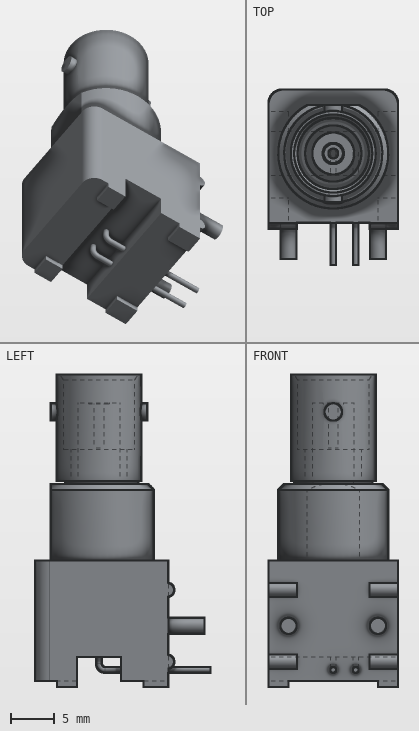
import cadquery as cq
import math


body_width = 14.75
body_back = 7.3
body_front = -7.9
body_top = 14.4
corner_radius = 1.65

foot_height = 0.68
foot_inner_x = 5.1
foot_width = body_width / 2 - foot_inner_x
front_foot_back = -5.05
rear_foot_back = 4.8
slot_half_length = 2.5
slot_top = 3.4

ridge_length = 3.25
ridge_half_height = 0.8
ridge_rise = 0.68
ridge_heights = (2.88, 11.05)
post_radius = 0.92
post_x = 5.1
post_z = 6.97
post_end = -12.02

pin_radius = 0.338
pin_positions = (0, 2.55)
pin_z = 1.95
pin_bend_radius = 0.7
pin_end = -12.7
pin_anchor = 0.7

collar_radius = 6.25
collar_top = 23.1
collar_chamfer = 0.68
collar_flat_y = 5.5

total_height = 35.55
barrel_radius = 4.85
barrel_bottom = 23.45
neck_radius = 4.48
neck_flat_y = 3.85
lug_radius = 1.0
lug_z = 31.3
lug_span = 2 * collar_flat_y

mouth_radius = 4.45
mouth_depth = 0.65
bore_radius = 4.05
bore_floor = 27.03
groove_radius = 3.2
groove_floor = 23.47
insulator_radius = 2.4
insulator_top = 32.3
contact_recess_radius = 1.2
contact_radius = 1.1
contact_recess_depth = contact_recess_radius - contact_radius
contact_hole_radius = 0.55
contact_hole_depth = 4.98


def box_between(x0, x1, y0, y1, z0, z1):
    return cq.Workplane("XY").box(x1 - x0, y1 - y0, z1 - z0, centered=False).translate((x0, y0, z0))


def rod_along_y(x, z, radius, y_front, y_back):
    rod = cq.Workplane("XZ", origin=(x, y_back, z)).circle(radius)
    return rod.extrude(y_back - y_front)


def make_housing():
    half = body_width / 2
    housing = box_between(-half, half, body_front, body_back, foot_height, body_top)
    housing = housing.edges("|Z and >Y").fillet(corner_radius)
    for x0 in (-half, foot_inner_x):
        x1 = x0 + foot_width
        housing = housing.union(box_between(x0, x1, body_front, front_foot_back, 0, foot_height))
        housing = housing.union(box_between(x0, x1, slot_half_length, rear_foot_back, 0, foot_height))
    slot = box_between(-half, half, -slot_half_length, slot_half_length, 0, slot_top)
    return housing.cut(slot)


def make_ridge(x_start, z):
    profile = (
        cq.Workplane("YZ", origin=(x_start, body_front, z))
        .moveTo(0, -ridge_half_height)
        .threePointArc((-ridge_rise, 0), (0, ridge_half_height))
        .close()
    )
    return profile.extrude(ridge_length)


def make_pin(x):
    """Round wire that drops from the slot roof and bends towards the front."""
    bend_mid = pin_bend_radius * (1 - math.sqrt(0.5))
    path = (
        cq.Workplane("YZ", origin=(x, 0, 0))
        .moveTo(0, slot_top + pin_anchor)
        .lineTo(0, pin_z + pin_bend_radius)
        .threePointArc((-bend_mid, pin_z + bend_mid), (-pin_bend_radius, pin_z))
        .lineTo(pin_end, pin_z)
    )
    section = cq.Workplane("XY", origin=(x, 0, slot_top + pin_anchor)).circle(pin_radius)
    return section.sweep(path)


def make_collar():
    collar = cq.Workplane("XY", origin=(0, 0, body_top)).circle(collar_radius)
    collar = collar.extrude(collar_top - body_top).faces(">Z").chamfer(collar_chamfer)
    beyond_flat = box_between(
        -collar_radius, collar_radius, collar_flat_y, collar_radius, body_top, collar_top
    )
    return collar.cut(beyond_flat)


def make_barrel():
    """Revolved barrel and socket on a neck with a flat at the back, with a bayonet lug on each side."""
    contact_face = insulator_top - contact_recess_depth
    contact_hole_floor = contact_face - contact_hole_depth
    barrel = (
        cq.Workplane("XZ")
        .moveTo(0, collar_top)
        .lineTo(neck_radius, collar_top)
        .lineTo(neck_radius, barrel_bottom)
        .lineTo(barrel_radius, barrel_bottom)
        .lineTo(barrel_radius, total_height)
        .lineTo(mouth_radius, total_height)
        .lineTo(bore_radius, total_height - mouth_depth)
        .lineTo(bore_radius, bore_floor)
        .lineTo(groove_radius, bore_floor)
        .lineTo(groove_radius, groove_floor)
        .lineTo(insulator_radius, groove_floor)
        .lineTo(insulator_radius, insulator_top)
        .lineTo(contact_recess_radius, insulator_top)
        .lineTo(contact_radius, contact_face)
        .lineTo(contact_hole_radius, contact_face)
        .lineTo(contact_hole_radius, contact_hole_floor)
        .lineTo(0, contact_hole_floor)
        .close()
        .revolve(360, (0, 0, 0), (0, 1, 0))
    )
    lug_bar = rod_along_y(0, lug_z, lug_radius, -lug_span / 2, lug_span / 2)
    wall_middle = (bore_radius + barrel_radius) / 2
    core = cq.Workplane("XY").circle(wall_middle).extrude(total_height)
    beyond_neck_flat = box_between(
        -neck_radius, neck_radius, neck_flat_y, neck_radius, collar_top, barrel_bottom
    )
    return barrel.union(lug_bar.cut(core)).cut(beyond_neck_flat)


result = make_housing().union(make_collar()).union(make_barrel())

for ridge_z in ridge_heights:
    for ridge_start in (-body_width / 2, body_width / 2 - ridge_length):
        result = result.union(make_ridge(ridge_start, ridge_z))

for side in (-1, 1):
    result = result.union(rod_along_y(side * post_x, post_z, post_radius, post_end, body_front))

for pin_x in pin_positions:
    result = result.union(make_pin(pin_x))